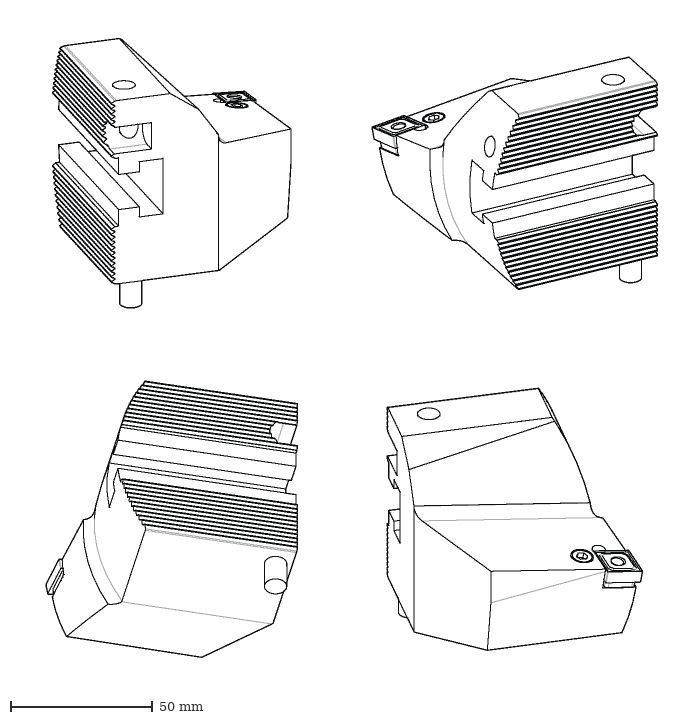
import cadquery as cq
import math


half_height = 35.0
turn_axis_x = 1.2
shank_radius = 66.0
shoulder_y = 40.1
nose_start_y = 43.8
nose_radius = 69.2
nose_flare = math.tan(math.radians(9.8))
end_y = 74.1
blank_length = 90.0
underside_slope = math.tan(math.radians(15))
underside_start_y = 40.6
right_taper_angle = 30.0

rake_x_angle = 7.0
rake_x = math.tan(math.radians(rake_x_angle))
rake_y = -0.112
rake_height = 17.66
rake_fillet = 4.0
steep_slope = -math.tan(math.radians(55))
steep_wall_top = 16.9
roof_slope = -math.tan(math.radians(35))
roof_start_y = 22.0

relief_slope_z = 0.078
relief_slope_x = 0.013
relief_start = (-20.0, end_y, -6.0)

slot_floor_y = 19.35
slot_lip_y = 10.4
slot_half_width = 10.55
slot_neck_half_width = 6.7
serration_floor_y = 2.7
serration_end_z = 13.0
tooth_pitch = 2.0
tooth_count = 11
first_tooth_z = 34.0
tooth_depth = 1.25
tooth_tip_half = 0.18
tooth_root_half = 0.12
top_edge_y = 1.85

cross_hole_diameter = 7.0
cross_hole_y = 9.9
cross_hole_z = 19.8
notch_radius = 5.05
notch_center_x = -4.9
notch_depth = 15.0
top_hole_diameter = 8.0
top_hole_x = -13.0
top_hole_y = 9.2
drill_half_angle = 59.0
drill_tip_z = 22.8

dowel_diameter = 7.9
dowel_x = -5.95
dowel_y = 9.3
dowel_inserted = 15.0
dowel_side_length = 10.7
dowel_dome = 1.25

insert_center_xy = (-67.12, 69.48)
insert_circle = 12.7
insert_angle = math.radians(80)
insert_thickness = 4.76
insert_corner_radius = 0.2
insert_hole = 5.16
breaker_depth = 0.3
breaker_insets = (0.05, 0.55, 1.2, 1.9)
land_corner_cut = 1.2
shim_thickness = 3.18
shim_inset = 0.9
shim_shift = (0.15, -0.3)
shim_corner_radius = 1.2
pocket_gap = 0.1
relief_hole_radius = 2.36
relief_hole_xy = (-61.8, 62.3)
lever_diameter = 4.5
lever_recess = 0.4
lever_offset = (0.28, -0.12)
screw_xy = (-54.8, 66.1)
screw_diameter = 8.0
screw_length = 12.0
screw_chamfer = 0.5
socket_sides = 6
socket_corners = 4.1
socket_depth = 2.0
socket_drill_diameter = 3.55


def rake_z(x, y):
    return rake_height + rake_x * x + rake_y * y


def rake_plane(xy):
    x, y = xy
    return cq.Plane(origin=(x, y, rake_z(x, y)), xDir=(1, 0, rake_x), normal=(-rake_x, -rake_y, 1))


def upper_jaw_points():
    points = [(top_edge_y, half_height)]
    flank_foot = tooth_pitch / 2 - tooth_root_half
    for i in range(tooth_count):
        z = first_tooth_z - i * tooth_pitch
        points += [
            (tooth_depth, z + flank_foot),
            (0, z + tooth_tip_half),
            (0, z - tooth_tip_half),
            (tooth_depth, z - flank_foot),
        ]
    return points + [
        (tooth_depth, serration_end_z),
        (serration_floor_y, serration_end_z),
        (serration_floor_y, slot_neck_half_width),
        (slot_lip_y, slot_neck_half_width),
        (slot_lip_y, slot_half_width),
        (slot_floor_y, slot_half_width),
    ]


def head_blank():
    upper = upper_jaw_points()
    lower = [(y, -z) for y, z in reversed(upper)]
    underside_end_z = -half_height + underside_slope * (end_y - underside_start_y)
    outline = upper + lower + [
        (underside_start_y, -half_height),
        (end_y, underside_end_z),
        (end_y, half_height),
    ]
    bar = cq.Workplane("YZ").polyline(outline).close().extrude(-blank_length)

    turned = (
        cq.Workplane("XY", origin=(turn_axis_x, 0, 0))
        .moveTo(0, 0)
        .lineTo(-shank_radius, 0)
        .lineTo(-shank_radius, shoulder_y)
        .tangentArcPoint((-nose_radius, nose_start_y), relative=False)
        .lineTo(-nose_radius - nose_flare * (end_y - nose_start_y), end_y)
        .lineTo(0, end_y)
        .close()
        .revolve(360, (0, 0, 0), (0, 1, 0))
    )
    return bar.intersect(turned)


def above_rake():
    """Everything over the rake face, its fillet, the wall and the steep face."""
    scale = math.cos(math.radians(rake_x_angle))
    top_z = 60.0
    steep_top_y = shoulder_y + (top_z - steep_wall_top) / steep_slope
    plane = cq.Plane(
        origin=(0, 0, 0),
        xDir=(0, 1, 0),
        normal=(scale, 0, math.sin(math.radians(rake_x_angle))),
    )
    points = [
        (shoulder_y, rake_z(0, shoulder_y)),
        (shoulder_y, steep_wall_top),
        (steep_top_y, top_z),
        (blank_length, top_z),
        (blank_length, rake_z(0, blank_length)),
    ]
    sharp = (
        cq.Workplane(plane)
        .polyline([(y, z * scale) for y, z in points])
        .close()
        .extrude(2 * blank_length, both=True)
    )
    inner_corner = cq.selectors.NearestToPointSelector((0, shoulder_y, rake_z(0, shoulder_y)))
    return sharp.edges(inner_corner).fillet(rake_fillet)


def above_roof():
    drop_z = half_height + roof_slope * (shoulder_y - roof_start_y)
    points = [(roof_start_y, half_height), (shoulder_y, half_height), (shoulder_y, drop_z)]
    return cq.Workplane("YZ").polyline(points).close().extrude(-blank_length)


def right_taper():
    run = blank_length * math.tan(math.radians(right_taper_angle))
    points = [(0, shoulder_y), (0, shoulder_y + blank_length), (-run, shoulder_y + blank_length)]
    return cq.Workplane("XY").polyline(points).close().extrude(blank_length, both=True)


def end_relief():
    normal = cq.Vector(-relief_slope_x, 1, -relief_slope_z)
    plane = cq.Plane(origin=relief_start, xDir=(1, relief_slope_x, 0), normal=normal)
    return cq.Workplane(plane).rect(2 * blank_length, 2 * blank_length).extrude(blank_length)


def shank_holes():
    cross = (
        cq.Workplane("YZ")
        .center(cross_hole_y, cross_hole_z)
        .circle(cross_hole_diameter / 2)
        .extrude(-blank_length)
    )
    notch = (
        cq.Workplane("XZ")
        .center(notch_center_x, cross_hole_z)
        .circle(notch_radius)
        .extrude(-notch_depth)
        .union(
            cq.Workplane("XZ")
            .center(notch_center_x / 2, cross_hole_z)
            .rect(-notch_center_x, 2 * notch_radius)
            .extrude(-notch_depth)
        )
    )
    radius = top_hole_diameter / 2
    cone_top_z = drill_tip_z + radius / math.tan(math.radians(drill_half_angle))
    drilled = (
        cq.Workplane("XZ", origin=(top_hole_x, top_hole_y, 0))
        .polyline([(0, drill_tip_z), (radius, cone_top_z), (radius, half_height), (0, half_height)])
        .close()
        .revolve(360, (0, 0, 0), (0, 1, 0))
    )
    return cross.union(notch).union(drilled)


insert_plane = rake_plane(insert_center_xy)
seat_depth = insert_thickness + shim_thickness


def on_insert(depth):
    return cq.Workplane(insert_plane).workplane(offset=-depth)


def on_screw():
    return cq.Workplane(rake_plane(screw_xy))


def rhombus(width):
    """Corners of a rhombus around the origin, its sides `width` apart."""
    half_side = width / math.sin(insert_angle) / 2
    half_lean = width / math.tan(insert_angle) / 2
    return [
        (-half_side - half_lean, width / 2),
        (half_side - half_lean, width / 2),
        (half_side + half_lean, -width / 2),
        (-half_side + half_lean, -width / 2),
    ]


def with_corners_cut(corners, cut):
    """Replaces each corner by two points, `cut` away from it along its two sides."""
    points = []
    for i, corner in enumerate(corners):
        for neighbour in (corners[i - 1], corners[(i + 1) % len(corners)]):
            share = cut / math.dist(corner, neighbour)
            points.append(tuple(c + share * (n - c) for c, n in zip(corner, neighbour)))
    return points


def rhombic_plate(depth, width, thickness, corner_radius, shift):
    plate = on_insert(depth).center(*shift).polyline(rhombus(width)).close().extrude(-thickness)
    upright_edges = cq.selectors.ParallelDirSelector(insert_plane.zDir)
    plate = plate.edges(upright_edges).fillet(corner_radius)
    return plate.cut(on_insert(depth).circle(insert_hole / 2).extrude(-thickness))


def breaker_frustum(top_points, bottom_points):
    top = on_insert(0).polyline(top_points).close()
    return top.workplane(offset=-breaker_depth).polyline(bottom_points).close().loft(ruled=True)


def chip_breaker():
    rim_top, rim_foot, land_foot, land_top = [
        rhombus(insert_circle - 2 * inset) for inset in breaker_insets
    ]
    land = breaker_frustum(
        with_corners_cut(land_top, land_corner_cut),
        with_corners_cut(land_foot, land_corner_cut),
    )
    return breaker_frustum(rim_top, rim_foot).cut(land)


def make_insert():
    plate = rhombic_plate(0, insert_circle, insert_thickness, insert_corner_radius, (0, 0))
    return plate.cut(chip_breaker())


def make_shim():
    width = insert_circle - 2 * shim_inset
    return rhombic_plate(insert_thickness, width, shim_thickness, shim_corner_radius, shim_shift)


def make_lever():
    lever = on_insert(lever_recess).center(*lever_offset).circle(lever_diameter / 2)
    return lever.extrude(lever_recess - seat_depth)


def insert_pocket():
    """Seat with a wall along two sides of the insert, open towards -X and +Y."""
    left_top, right_top, right_bottom, left_bottom = rhombus(insert_circle)
    reach = insert_circle
    reach_lean = reach / math.tan(insert_angle)
    points = [
        (left_top[0] - reach, left_top[1] + reach),
        (right_top[0] + pocket_gap - reach_lean, right_top[1] + reach),
        (right_bottom[0] + pocket_gap, right_bottom[1]),
        (left_bottom[0] - reach, left_bottom[1]),
    ]
    pocket = on_insert(0).polyline(points).close().extrude(seat_depth, both=True)
    corner = cq.Workplane(rake_plane(relief_hole_xy)).circle(relief_hole_radius)
    return pocket.union(corner.extrude(-seat_depth))


def screw_hole():
    return on_screw().circle(screw_diameter / 2).extrude(-screw_length)


def make_screw():
    socket = on_screw().polygon(socket_sides, socket_corners).extrude(-socket_depth)
    drill_radius = socket_drill_diameter / 2
    drill_tip_depth = drill_radius / math.tan(math.radians(drill_half_angle))
    drill_cone = cq.Solid.makeCone(
        drill_radius,
        0,
        drill_tip_depth,
        on_screw().workplane(offset=-socket_depth).plane.origin,
        -on_screw().plane.zDir,
    )
    head_rim = cq.selectors.NearestToPointSelector(on_screw().plane.origin)
    shaft = screw_hole().edges(head_rim).chamfer(screw_chamfer)
    return shaft.cut(socket).cut(cq.Workplane(drill_cone))


def dowel_bore():
    bore = cq.Workplane("XY", origin=(dowel_x, dowel_y, -half_height)).circle(dowel_diameter / 2)
    return bore.extrude(dowel_inserted)


def make_dowel():
    radius = dowel_diameter / 2
    top_z = dowel_inserted - half_height
    side_end_z = -half_height - dowel_side_length
    dome_radius = (radius**2 + dowel_dome**2) / (2 * dowel_dome)
    dome_middle = (
        radius / 2,
        side_end_z - dowel_dome + dome_radius - math.sqrt(dome_radius**2 - radius**2 / 4),
    )
    return (
        cq.Workplane("XZ", origin=(dowel_x, dowel_y, 0))
        .moveTo(0, top_z)
        .lineTo(radius, top_z)
        .lineTo(radius, side_end_z)
        .threePointArc(dome_middle, (0, side_end_z - dowel_dome))
        .close()
        .revolve(360, (0, 0, 0), (0, 1, 0))
    )


def make_head():
    head = head_blank()
    for cutter in (
        above_rake(),
        above_roof(),
        right_taper(),
        end_relief(),
        shank_holes(),
        insert_pocket(),
        screw_hole(),
        dowel_bore(),
    ):
        head = head.cut(cutter)
    return head


head = make_head()
insert = make_insert()
shim = make_shim()
lever = make_lever()
screw = make_screw()
dowel = make_dowel()

bodies = [head, insert, shim, lever, screw, dowel]
result = cq.Compound.makeCompound([body.solids().val() for body in bodies])